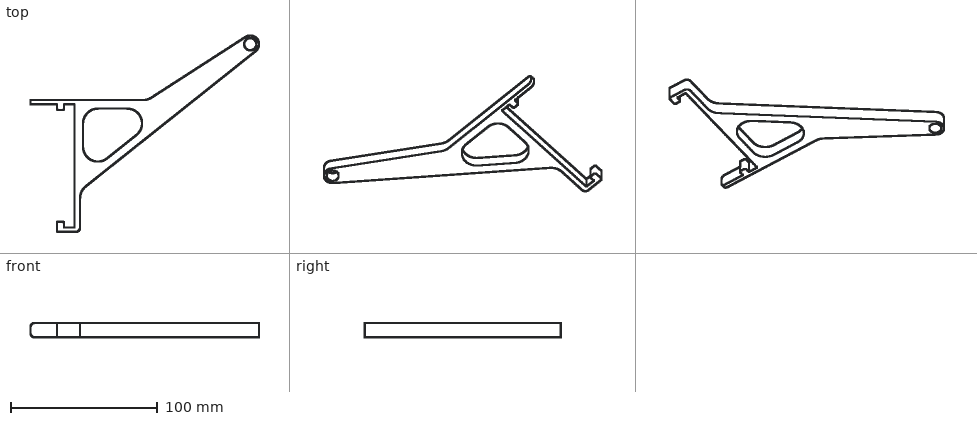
import cadquery as cq
import math

THICKNESS = 10.0

OPENING = 84.0
PLATE = 3.0
WALL = 4.0
TONGUE_REACH = 30.0
TONGUE_CORNER_RADIUS = 3.0
LIP_REACH = 12.0
LIP_WIDTH = 5.0
LIP_DEPTH = 4.0
LIP_RADIUS = 1.0
FLANGE_CORNER_RADIUS = 3.0

EYE_X = 120.0
EYE_Y = 41.0
EYE_RADIUS = 6.0
EYE_HOLE_DIAMETER = 8.2
ARM_TOP_START_X = 50.0
ARM_BOTTOM_START_Y = -59.0
ARM_BLEND_RADIUS = 10.0

WINDOW_MARGIN = 6.0
WINDOW_RADIUS = 10.0

FLANGE_BOTTOM = -OPENING - PLATE
LIP_INNER_X = LIP_WIDTH - LIP_REACH
ARM_TOP_START = (ARM_TOP_START_X, PLATE)
ARM_BOTTOM_START = (WALL, ARM_BOTTOM_START_Y)


def eye_tangent(start, side):
    """Point where the line from start touches the eye; side is +1 for its upper edge, -1 for its lower."""
    dx = EYE_X - start[0]
    dy = EYE_Y - start[1]
    edge_angle = math.atan2(dy, dx) + side * math.asin(EYE_RADIUS / math.hypot(dx, dy))
    normal_angle = edge_angle + side * math.pi / 2
    return (
        EYE_X + EYE_RADIUS * math.cos(normal_angle),
        EYE_Y + EYE_RADIUS * math.sin(normal_angle),
    )


UPPER_TANGENT = eye_tangent(ARM_TOP_START, 1)
LOWER_TANGENT = eye_tangent(ARM_BOTTOM_START, -1)


def round_corners(body, corners, radius):
    """Fillet the edges along Z that stand at the given corner points."""
    half_size = 0.1
    for x, y in corners:
        box = cq.selectors.BoxSelector(
            (x - half_size, y - half_size, -THICKNESS),
            (x + half_size, y + half_size, THICKNESS),
        )
        body = body.edges("|Z").edges(box).fillet(radius)
    return body


def make_body():
    body = (
        cq.Workplane("XY")
        .workplane(offset=-THICKNESS / 2)
        .moveTo(-TONGUE_REACH, PLATE)
        .lineTo(*ARM_TOP_START)
        .lineTo(*UPPER_TANGENT)
        .threePointArc((EYE_X + EYE_RADIUS, EYE_Y), LOWER_TANGENT)
        .lineTo(*ARM_BOTTOM_START)
        .lineTo(WALL, FLANGE_BOTTOM)
        .lineTo(-LIP_REACH, FLANGE_BOTTOM)
        .lineTo(-LIP_REACH, LIP_DEPTH - OPENING)
        .lineTo(LIP_INNER_X, LIP_DEPTH - OPENING)
        .lineTo(LIP_INNER_X, -OPENING)
        .lineTo(0, -OPENING)
        .lineTo(0, 0)
        .lineTo(LIP_INNER_X, 0)
        .lineTo(LIP_INNER_X, -LIP_DEPTH)
        .lineTo(-LIP_REACH, -LIP_DEPTH)
        .lineTo(-LIP_REACH, 0)
        .lineTo(-TONGUE_REACH, 0)
        .close()
        .extrude(THICKNESS)
    )
    lip_corners = [
        (-LIP_REACH, -LIP_DEPTH),
        (LIP_INNER_X, -LIP_DEPTH),
        (-LIP_REACH, LIP_DEPTH - OPENING),
        (LIP_INNER_X, LIP_DEPTH - OPENING),
        (-LIP_REACH, FLANGE_BOTTOM),
    ]
    body = round_corners(body, lip_corners, LIP_RADIUS)
    body = round_corners(body, [(WALL, FLANGE_BOTTOM)], FLANGE_CORNER_RADIUS)
    body = round_corners(body, [ARM_TOP_START, ARM_BOTTOM_START], ARM_BLEND_RADIUS)
    return body.faces("<X").edges("|Y").fillet(TONGUE_CORNER_RADIUS)


def make_window():
    """Rounded triangle set in by the margin from the wall, the plate top and the lower arm edge."""
    left = WINDOW_MARGIN
    top = PLATE - WINDOW_MARGIN
    run = LOWER_TANGENT[0] - ARM_BOTTOM_START[0]
    rise = LOWER_TANGENT[1] - ARM_BOTTOM_START[1]
    slope = rise / run
    edge_lift = WINDOW_MARGIN * math.hypot(run, rise) / run
    bottom = ARM_BOTTOM_START_Y + slope * (left - WALL) + edge_lift
    right = left + (top - bottom) / slope
    return (
        cq.Workplane("XY")
        .workplane(offset=-THICKNESS / 2)
        .polyline([(left, top), (right, top), (left, bottom)])
        .close()
        .extrude(THICKNESS)
        .edges("|Z")
        .fillet(WINDOW_RADIUS)
    )


def make_eye_hole():
    return (
        cq.Workplane("XY")
        .workplane(offset=-THICKNESS / 2)
        .center(EYE_X, EYE_Y)
        .circle(EYE_HOLE_DIAMETER / 2)
        .extrude(THICKNESS)
    )


result = make_body().cut(make_window()).cut(make_eye_hole())